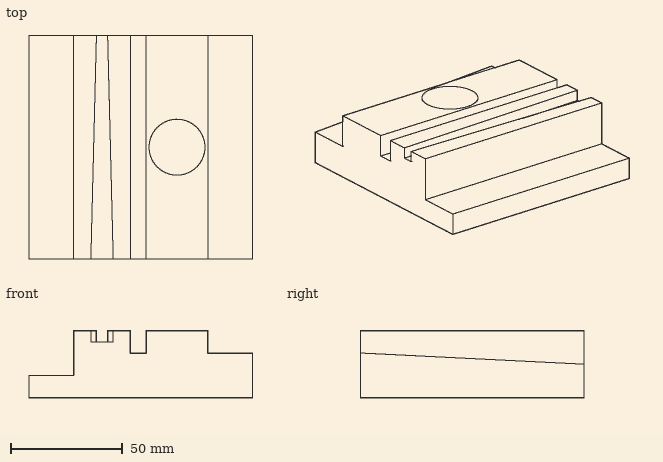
import cadquery as cq

length = 100.0
width = 100.0
height = 30.0

ledge_width = 20.0
left_ledge_height = 10.0
right_ledge_height = 20.0
right_ledge_drop = 5.0

slot_left = 45.4
slot_width = 7.0
slot_depth = 10.0
slot_right = slot_left + slot_width

groove_front_width = 10.0
groove_back_width = 5.0
groove_depth = 5.0
groove_center = (ledge_width + slot_left) / 2

dimple_radius = 12.5
dimple_x = (slot_right + length - ledge_width) / 2
dimple_y = width / 2


def stepped_body():
    """Block with a low ledge on the left and a higher one on the right."""
    profile = [
        (0, 0),
        (length, 0),
        (length, right_ledge_height),
        (length - ledge_width, right_ledge_height),
        (length - ledge_width, height),
        (ledge_width, height),
        (ledge_width, left_ledge_height),
        (0, left_ledge_height),
    ]
    return cq.Workplane("XZ").polyline(profile).close().extrude(-width)


def right_ledge_slope():
    """Wedge that makes the right ledge fall steadily toward +Y."""
    outline = [
        (0, right_ledge_height),
        (width, right_ledge_height),
        (width, right_ledge_height - right_ledge_drop),
    ]
    wedge = cq.Workplane("YZ").polyline(outline).close().extrude(ledge_width)
    return wedge.translate((length - ledge_width, 0, 0))


def straight_slot():
    """Full-length rectangular slot cut down from the top face."""
    slot = cq.Workplane("XY").box(slot_width, width, slot_depth, centered=False)
    return slot.translate((slot_left, 0, height - slot_depth))


def tapered_groove():
    """Full-length flat-bottomed groove with a trapezoidal plan."""
    outline = [
        (groove_center - groove_front_width / 2, 0),
        (groove_center + groove_front_width / 2, 0),
        (groove_center + groove_back_width / 2, width),
        (groove_center - groove_back_width / 2, width),
    ]
    floor = cq.Workplane("XY").workplane(offset=height - groove_depth)
    return floor.polyline(outline).close().extrude(groove_depth)


def dimple():
    """Sphere whose centre lies in the top face."""
    return cq.Workplane("XY").sphere(dimple_radius).translate((dimple_x, dimple_y, height))


result = stepped_body()
for cutter in (right_ledge_slope(), straight_slot(), tapered_groove(), dimple()):
    result = result.cut(cutter)